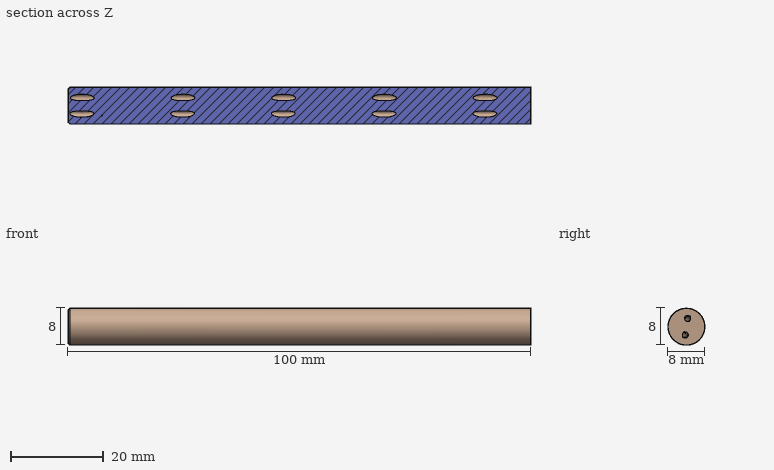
import cadquery as cq
import math

rod_length = 100
rod_diameter = 8
chamfer_size = 0.4

hole_diameter = 1.3
hole_pitch_diameter = 3.6
hole_tilt = 25
helix_angle = 30
helix_lead = math.pi * rod_diameter / math.tan(math.radians(helix_angle))
total_twist = 360 * rod_length / helix_lead


def make_rod():
    """Plain cylinder with its -X end chamfered."""
    rod = cq.Workplane("YZ", origin=(-rod_length / 2, 0, 0)).circle(rod_diameter / 2).extrude(rod_length)
    return rod.faces("<X").edges().chamfer(chamfer_size)


def make_spiral_holes():
    """Two round cutters that twist right-handed through the full length of the rod."""
    return (
        cq.Workplane("YZ", origin=(-rod_length / 2, 0, 0))
        .polarArray(hole_pitch_diameter / 2, -hole_tilt, 360, 2)
        .circle(hole_diameter / 2)
        .twistExtrude(rod_length, total_twist)
    )


result = make_rod().cut(make_spiral_holes())